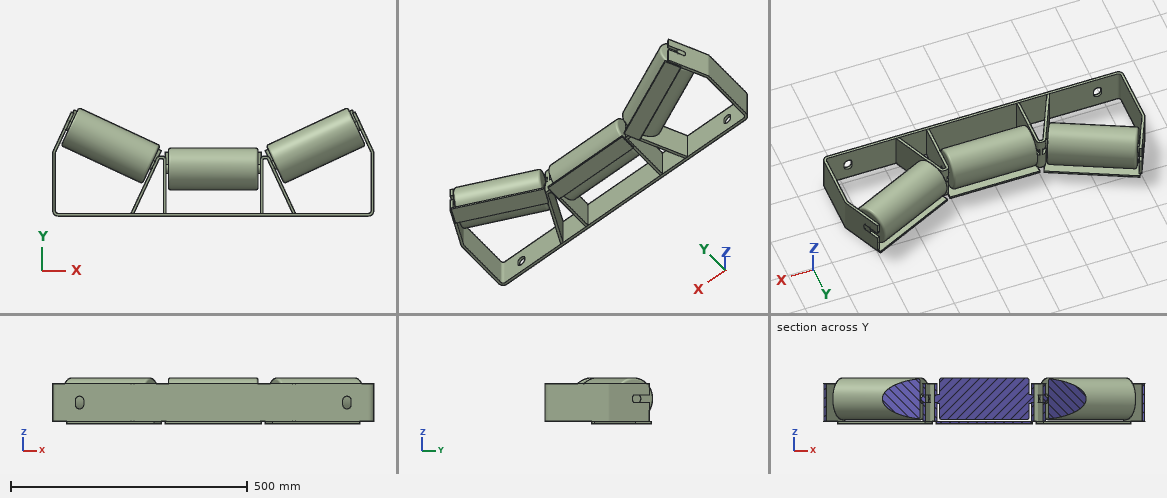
import cadquery as cq
import math

frame_width = 680.0
frame_height = 80.0
sheet = 6.0
corner_inner_radius = 6.0
side_bend_inner_radius = 2.0
side_bend_y = 136.0
tab_length = 94.0
mount_slot_spacing = 566.0
mount_slot_width = 18.0
mount_slot_height = 27.0

trough_angle = 25.0
roller_diameter = 89.0
roller_length = 190.0
roller_edge_radius = 5.0
seat_gap = 199.0
shaft_diameter = 20.0
shaft_flat = 15.0
axis_z = 48.0
middle_axis_y = 100.0
side_center_y = 149.6

bracket_top_y = 127.5
bracket_bend_inner_radius = 2.0

plate_length = 204.0
plate_depth = 37.0
plate_front_offset = 1.0
plate_thickness = 5.0

tilt = math.radians(trough_angle)
shaft_length = seat_gap + 2 * sheet
along_tab = (math.sin(tilt), math.cos(tilt))
across_tab = (math.cos(tilt), -math.sin(tilt))

rise_to_center = side_center_y - side_bend_y
side_center_x = (
    -frame_width / 2
    + (shaft_length / 2 + rise_to_center * math.sin(tilt)) / math.cos(tilt)
)

roller_stations = [
    (side_center_x, side_center_y, -trough_angle),
    (0.0, middle_axis_y, 0.0),
    (-side_center_x, side_center_y, trough_angle),
]


def place(body, station):
    """Move a body built about the origin, with its axis on X, to a roller station."""
    x, y, angle = station
    return body.rotate((0, 0, 0), (0, 0, 1), angle).translate((x, y, 0))


def right_normal(start, end):
    """Unit vector pointing to the right of the direction from start to end."""
    dx = end[0] - start[0]
    dy = end[1] - start[1]
    length = math.hypot(dx, dy)
    return dy / length, -dx / length


def offset_to_right(path, distance):
    """Shift an open path sideways, with mitred corners."""
    normals = [right_normal(a, b) for a, b in zip(path, path[1:])]
    before = [normals[0]] + normals
    after = normals + [normals[-1]]
    shifted = []
    for (x, y), n1, n2 in zip(path, before, after):
        scale = distance / (1 + n1[0] * n2[0] + n1[1] * n2[1])
        shifted.append((x + (n1[0] + n2[0]) * scale, y + (n1[1] + n2[1]) * scale))
    return shifted


def bent_strip(outer, inner_radii):
    """Strip on edge, its outer face along a path and its thickness to the right of it."""
    inner = offset_to_right(outer, sheet)
    strip = cq.Workplane("XY").polyline(outer + inner[::-1]).close().extrude(frame_height)
    for face_path, added_radius in ((outer, sheet), (inner, 0.0)):
        for (x, y), inner_radius in zip(face_path[1:-1], inner_radii):
            corner = cq.NearestToPointSelector((x, y, frame_height / 2))
            strip = strip.edges("|Z").edges(corner).fillet(inner_radius + added_radius)
    return strip


def flatted_shaft(length):
    """Round bar with two flats facing up and down, centred on the origin along X."""
    bar = cq.Workplane("YZ").circle(shaft_diameter / 2).extrude(length / 2, both=True)
    return bar.intersect(cq.Workplane("XY").box(length, shaft_diameter, shaft_flat))


def make_shaft_slots():
    """Cutter for the open-topped slots that hold both ends of a shaft."""
    opening = cq.Workplane("XY").box(shaft_length, tab_length, shaft_flat, centered=(True, False, True))
    return flatted_shaft(shaft_length).union(opening).translate((0, 0, axis_z))


def make_frame():
    half = frame_width / 2
    tip = (
        -half + tab_length * along_tab[0],
        side_bend_y + tab_length * along_tab[1],
    )
    left = [tip, (-half, side_bend_y), (-half, 0.0)]
    right = [(-x, y) for x, y in reversed(left)]
    path = (left + right)[::-1]
    radii = [side_bend_inner_radius, corner_inner_radius, corner_inner_radius, side_bend_inner_radius]
    frame = bent_strip(path, radii)
    mount_slots = (
        cq.Workplane("XZ")
        .pushPoints([(side * mount_slot_spacing / 2, frame_height / 2) for side in (-1, 1)])
        .slot2D(mount_slot_height, mount_slot_width, 90)
        .extrude(-sheet)
    )
    frame = frame.cut(mount_slots)
    for station in (roller_stations[0], roller_stations[2]):
        frame = frame.cut(place(make_shaft_slots(), station))
    return frame


def make_bracket():
    """Left bracket: sloping leg, short bridge and upright leg, ending on the frame."""
    seat_x = side_center_x + seat_gap / 2 * across_tab[0]
    seat_y = side_center_y + seat_gap / 2 * across_tab[1]

    def sloping_face_x(y):
        return seat_x + (y - seat_y) * math.tan(tilt)

    path = [
        (sloping_face_x(0.0), 0.0),
        (sloping_face_x(bracket_top_y), bracket_top_y),
        (-seat_gap / 2, bracket_top_y),
        (-seat_gap / 2, 0.0),
    ]
    bracket = bent_strip(path, [bracket_bend_inner_radius, bracket_bend_inner_radius])
    floor = cq.Workplane("XY").box(frame_width, 2 * sheet, 2 * frame_height)
    bracket = bracket.cut(floor)
    for station in roller_stations[:2]:
        bracket = bracket.cut(place(make_shaft_slots(), station))
    return bracket


def make_roller():
    drum = (
        cq.Workplane("YZ")
        .workplane(offset=-roller_length / 2)
        .circle(roller_diameter / 2)
        .extrude(roller_length)
        .edges()
        .fillet(roller_edge_radius)
    )
    neck = cq.Workplane("YZ").circle(shaft_diameter / 2).extrude(seat_gap / 2, both=True)
    roller = drum.union(neck).union(flatted_shaft(shaft_length))
    return roller.translate((0, 0, axis_z))


def make_plate():
    """Plate against the lower edges of the sheet metal, from just ahead of the roller axis to the rear."""
    size = (plate_length, plate_depth, plate_thickness)
    plate = cq.Workplane("XY").box(*size, centered=(True, False, False))
    return plate.translate((0, -plate_front_offset, -plate_thickness))


frame = make_frame()
left_bracket = make_bracket()
brackets = [left_bracket, left_bracket.mirror("YZ")]
rollers = [place(make_roller(), station) for station in roller_stations]
plates = [place(make_plate(), station) for station in roller_stations]

bodies = [frame] + brackets + rollers + plates
result = cq.Compound.makeCompound([body.val() for body in bodies])